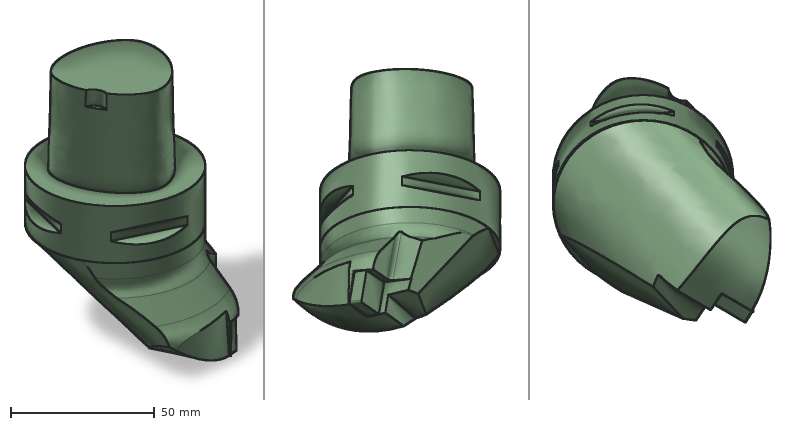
import cadquery as cq
import math

flange_diameter = 63.0
flange_radius = flange_diameter / 2
flange_height = 22.3
overall_length = 103.0
shank_length = 38.0
tip_x = 45.0
tip_z = shank_length - overall_length
overrun = 2.0

shank_base_radius = 22.15
shank_lobe = 1.45
lobed_points = 36
shank_taper = 1 / 40
shank_top_radius = shank_base_radius - shank_taper * shank_length

notch_radius = 5.2
notch_floor_y = -17.9
notch_height = 6.3

groove_count = 4
groove_floor_distance = 27.85
groove_floor_height = 3.4
groove_flank_angle = 30.0
groove_mid_z = -12.0

lean_start_z = -22.0
lean_slope = 50.3 / 41.2
lean_drop = 50.0

neck_radius = 31.45
neck_straight_end = -28.5
flare_start = (33.4, -35.0)
flare_end = (41.0, -43.6)
rim_start = (44.5, -53.0)
rim_end = (44.9, tip_z - overrun)

end_axis_z = -20.4
end_radius_at_tip = 44.4
end_relief_slope = 0.055

relief_radius = 47.8
relief_edge_x = 43.2
relief_start_z = -46.5
relief_slope = 0.06
relief_limit_y = -5.0

back_trim = (44.5, 0.21, 0.63)
front_trim = (41.45, -0.533, 0.20)

rake = (14.85, -0.10, 0.12)
gullet_wall_top = (30.6, -31.0)
gullet_floor_z = -56.8
gullet_wall_bottom_x = 33.0
gullet_root_radius = 1.5

insert_edge = 12.9
insert_angle = 80.0
insert_thickness = 4.76
insert_nose_radius = 0.8
insert_tip_y = 0.0
pocket_clearance = 3.0

reach = 150.0


def sloped_plane(coefficients, x, z):
    """Workplane on y = offset + a x + b z, normal toward +Y, local X along the slope in X."""
    offset, slope_x, slope_z = coefficients
    origin = (x, offset + slope_x * x + slope_z * z, z)
    return cq.Plane(origin=origin, xDir=(1, slope_x, 0), normal=(-slope_x, 1, -slope_z))


def half_space(coefficients):
    """Large block on the +Y side of a sloped plane."""
    plane = sloped_plane(coefficients, 0, 0)
    return cq.Workplane(plane).rect(2 * reach, 2 * reach).extrude(reach)


def lobed_point(radius, turn):
    """Point of the constant-width three-lobed outline, from its support function."""
    angle = 2 * math.pi * turn
    phase = 3 * (angle - math.pi / 2)
    support = radius + shank_lobe * math.cos(phase)
    slope = -3 * shank_lobe * math.sin(phase)
    x = support * math.cos(angle) - slope * math.sin(angle)
    y = support * math.sin(angle) + slope * math.cos(angle)
    return x, y


def lobed_outline(workplane, radius):
    points = [lobed_point(radius, index / lobed_points) for index in range(lobed_points)]
    return workplane.spline(points, periodic=True).close()


def make_shank():
    base = lobed_outline(cq.Workplane("XY"), shank_base_radius)
    shank = lobed_outline(base.workplane(offset=shank_length), shank_top_radius).loft(ruled=True)
    notch = (
        cq.Workplane("XY", origin=(0, notch_floor_y - notch_radius, shank_length - notch_height))
        .circle(notch_radius)
        .extrude(notch_height)
    )
    return shank.cut(notch)


def make_flange():
    flange = cq.Workplane("XY").circle(flange_radius).extrude(-flange_height)
    depth = flange_radius - groove_floor_distance
    flare = depth * math.tan(math.radians(groove_flank_angle))
    half_floor = groove_floor_height / 2
    groove = (
        cq.Workplane("XZ")
        .moveTo(groove_floor_distance, groove_mid_z - half_floor)
        .lineTo(groove_floor_distance, groove_mid_z + half_floor)
        .lineTo(flange_radius, groove_mid_z + half_floor + flare)
        .lineTo(flange_radius, groove_mid_z - half_floor - flare)
        .close()
        .extrude(flange_radius, both=True)
    )
    pitch = 360 / groove_count
    for index in range(groove_count):
        angle = (index + 0.5) * pitch
        flange = flange.cut(groove.rotate((0, 0, 0), (0, 0, 1), angle))
    return flange


def leaning_cylinder(radius, center_x, start_z, slope, drop):
    """Level circle swept downward while it drifts toward +X."""
    circle = cq.Wire.makeCircle(radius, cq.Vector(center_x, 0, start_z), cq.Vector(0, 0, 1))
    travel = cq.Vector(slope * drop, 0, -drop)
    return cq.Workplane(cq.Solid.extrudeLinear(circle, [], travel))


def make_relief():
    """Region outside the relief cylinder on the -Y side, from the flange down past the tip."""
    start_z = lean_start_z
    start_x = relief_edge_x - relief_radius + relief_slope * (relief_start_z - start_z)
    drop = start_z - tip_z + overrun
    kept = leaning_cylinder(relief_radius, start_x, start_z, relief_slope, drop)
    side = (
        cq.Workplane("XY", origin=(0, relief_limit_y - reach, start_z))
        .rect(2 * reach, 2 * reach)
        .extrude(-drop)
    )
    return side.cut(kept)


def make_turned_outline():
    return (
        cq.Workplane("XZ")
        .moveTo(0, lean_start_z)
        .lineTo(neck_radius, lean_start_z)
        .lineTo(neck_radius, neck_straight_end)
        .tangentArcPoint(flare_start, relative=False)
        .lineTo(*flare_end)
        .tangentArcPoint(rim_start, relative=False)
        .lineTo(*rim_end)
        .lineTo(0, rim_end[1])
        .close()
        .revolve(360, (0, 0), (0, 1))
    )


def make_end_cone():
    far_x = -flange_radius
    near_x = tip_x + overrun
    far_radius = end_radius_at_tip - end_relief_slope * (tip_x - far_x)
    near_radius = end_radius_at_tip + end_relief_slope * (near_x - tip_x)
    return (
        cq.Workplane("XZ")
        .polyline([
            (far_x, end_axis_z),
            (far_x, end_axis_z - far_radius),
            (near_x, end_axis_z - near_radius),
            (near_x, end_axis_z),
        ])
        .close()
        .revolve(360, (far_x, end_axis_z), (near_x, end_axis_z))
    )


def make_gullet():
    top_x, top_z = gullet_wall_top
    wall_run = (gullet_wall_bottom_x - top_x) / (top_z - gullet_floor_z)
    high_x = top_x + wall_run * top_z
    outline = [
        (high_x, 0),
        (gullet_wall_bottom_x, gullet_floor_z),
        (-reach, gullet_floor_z),
        (-reach, -reach),
        (reach, -reach),
        (reach, 0),
    ]
    block = cq.Workplane("XZ").polyline(outline).close().extrude(reach, both=True)
    below_flange = cq.Workplane("XY", origin=(0, 0, -flange_height)).rect(2 * reach, 2 * reach)
    gullet = block.intersect(half_space(rake)).intersect(below_flange.extrude(-reach))
    root_x = (top_x + gullet_wall_bottom_x) / 2
    root_z = (top_z + gullet_floor_z) / 2
    root_y = rake[0] + rake[1] * root_x + rake[2] * root_z
    root = cq.selectors.NearestToPointSelector((root_x, root_y, root_z))
    return gullet.edges(root).fillet(gullet_root_radius)


def rhombus_prism(outward, height):
    """Rhombus with its inner corner fixed and its cutting corner pushed out along both edges."""
    half_gap = math.radians((90 - insert_angle) / 2)
    half_angle = math.radians(insert_angle / 2)
    setback = insert_nose_radius * (math.sin(math.pi / 4) / math.sin(half_angle) - 1)
    corner_x = tip_x + setback
    corner_z = tip_z - setback
    offset = insert_tip_y - rake[1] * corner_x - rake[2] * corner_z
    plane = sloped_plane((offset, rake[1], rake[2]), corner_x, corner_z)
    inward = (-math.cos(half_gap), -math.sin(half_gap))
    upward = (-math.sin(half_gap), -math.cos(half_gap))

    def corner(along_inward, along_upward):
        x = along_inward * inward[0] + along_upward * upward[0]
        y = along_inward * inward[1] + along_upward * upward[1]
        return x, y

    corners = [
        corner(-outward, -outward),
        corner(insert_edge, -outward),
        corner(insert_edge, insert_edge),
        corner(-outward, insert_edge),
    ]
    base = cq.Workplane(plane).workplane(offset=-insert_thickness)
    return base.polyline(corners).close().extrude(height)


def make_insert():
    blank = rhombus_prism(0, insert_thickness)
    nose = cq.selectors.DirectionMinMaxSelector(cq.Vector(1, 0, -1))
    return blank.edges(nose).fillet(insert_nose_radius)


def make_holder():
    neck = leaning_cylinder(flange_radius, 0, lean_start_z, lean_slope, lean_drop)
    neck = neck.intersect(make_turned_outline()).intersect(make_end_cone())
    neck = neck.cut(half_space(back_trim)).cut(half_space(front_trim)).cut(make_gullet())
    neck = neck.cut(make_relief())
    pocket = rhombus_prism(pocket_clearance, reach)
    return make_flange().union(make_shank()).union(neck.cut(pocket))


insert = make_insert()
holder = make_holder()

result = cq.Compound.makeCompound([*holder.solids().vals(), *insert.solids().vals()])